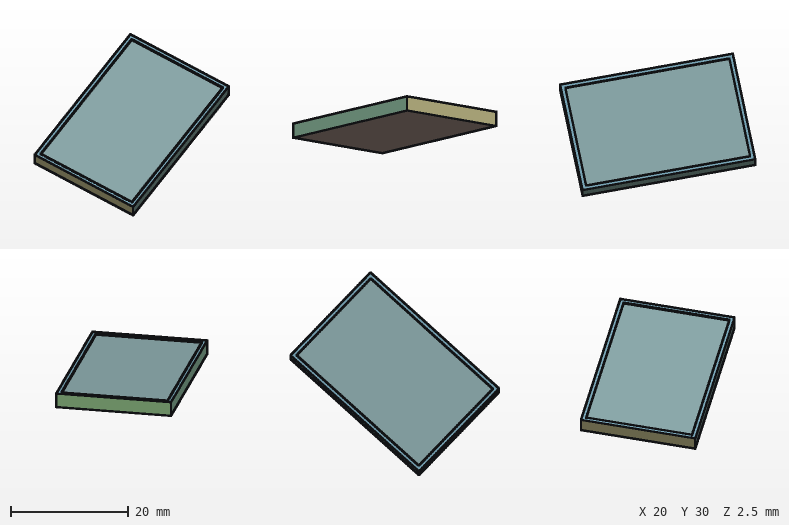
import cadquery as cq

width = 20.0
length = 30.0
height = 2.5

rim_width = 0.75
recess_depth = 0.25

block = cq.Workplane("XY").box(width, length, height, centered=(True, True, False))

result = (
    block.faces(">Z")
    .workplane()
    .rect(width - 2 * rim_width, length - 2 * rim_width)
    .cutBlind(-recess_depth)
)